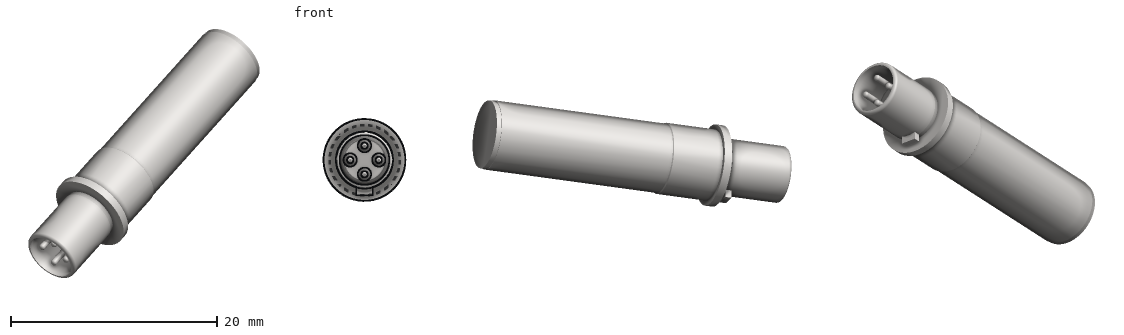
import cadquery as cq

total_length = 30.9

neck_start = 6.2
flange_front = 6.7
flange_thickness = 0.77
flange_rear = flange_front + flange_thickness
collar_end = 12.65
tail_start = 30.4

barrel_radius = 2.78
neck_radius = 2.72
flange_radius = 4.0
collar_radius = 3.5
sleeve_radius = 3.4
tail_radius = 3.35
rim_fillet = 0.3
collar_chamfer = collar_radius - sleeve_radius

bore_radius = 2.4
bore_depth = flange_rear

key_width = 1.58
key_length = 0.65
key_reach = 3.43

insert_face = 3.7
insert_fillet = 0.4
pin_count = 4
pin_circle_radius = 1.4
pin_base_radius = 0.65
pin_radius = 0.3
pin_tip_y = 0.35
pin_shoulder_length = 0.2
pin_tip_fillet = 0.25


def cylinder_along_y(radius, start, end):
    """Solid cylinder about the Y axis between two stations."""
    return cq.Workplane("XZ", origin=(0, start, 0)).circle(radius).extrude(start - end)


def make_key():
    """Rectangular key that stands down from the barrel."""
    return cq.Workplane("XY").box(
        key_width, key_length, key_reach, centered=(True, False, False)
    ).translate((0, neck_start - key_length, -key_reach))


def make_shell():
    """Stepped round shell with a rounded rim, a key and a blind socket."""
    barrel = cylinder_along_y(barrel_radius, 0, neck_start)
    barrel = barrel.faces("<Y").edges().fillet(rim_fillet)
    neck = cylinder_along_y(neck_radius, neck_start, flange_front)
    flange = cylinder_along_y(flange_radius, flange_front, flange_rear)
    collar = cylinder_along_y(collar_radius, flange_rear, collar_end)
    collar = collar.faces(">Y").edges().chamfer(collar_chamfer)
    sleeve = cylinder_along_y(sleeve_radius, collar_end, tail_start)
    tail = cylinder_along_y(tail_radius, tail_start, total_length)
    body = barrel.union(make_key())
    for section in (neck, flange, collar, sleeve, tail):
        body = body.union(section)
    return body.cut(cylinder_along_y(bore_radius, 0, bore_depth))


def make_pin():
    """Contact pin on the Y axis: rounded tip, and a conical shoulder down to a wider base in the insert."""
    base = cylinder_along_y(pin_base_radius, insert_face, bore_depth)
    shoulder = cq.Workplane(
        cq.Solid.makeCone(
            pin_radius,
            pin_base_radius,
            pin_shoulder_length,
            pnt=cq.Vector(0, insert_face - pin_shoulder_length, 0),
            dir=cq.Vector(0, 1, 0),
        )
    )
    contact = cylinder_along_y(pin_radius, pin_tip_y, bore_depth)
    contact = contact.faces("<Y").edges().fillet(pin_tip_fillet)
    return base.union(shoulder).union(contact)


def make_insert():
    """Round insulator with a rounded front edge, carrying a ring of contact pins."""
    insert = cylinder_along_y(bore_radius, insert_face, bore_depth)
    insert = insert.faces("<Y").edges().fillet(insert_fillet)
    pin = make_pin().translate((pin_circle_radius, 0, 0))
    pin_spacing_angle = 360 / pin_count
    for index in range(pin_count):
        insert = insert.union(pin.rotate((0, 0, 0), (0, 1, 0), index * pin_spacing_angle))
    return insert


shell = make_shell()
insert = make_insert()
result = cq.Compound.makeCompound([shell.val(), insert.val()])